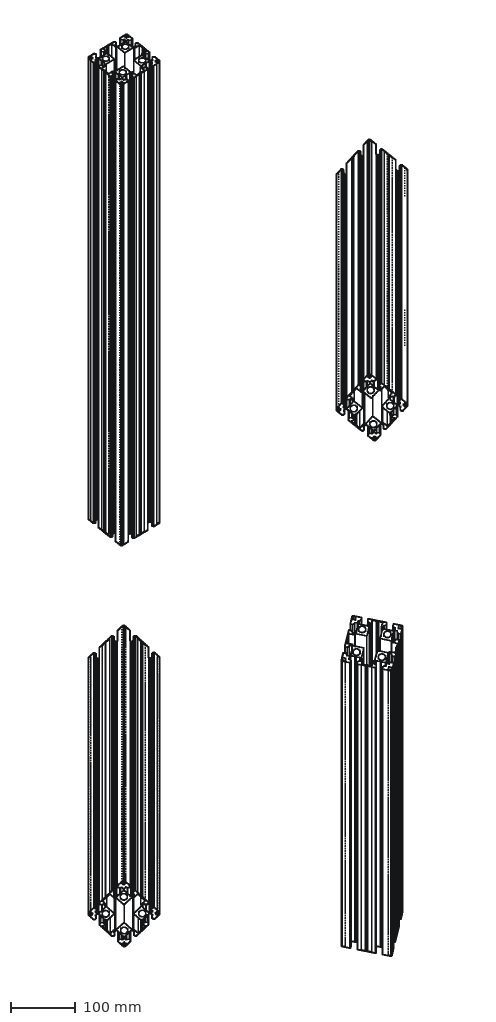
import cadquery as cq
import math

side = 80.0
length = 1000.0
half_side = side / 2
wall = 1.5
corner_chamfer = 1.5
side_count = 4

slot_offset = 20.0
mouth_half_width = 5.0
mouth_chamfer = 1.0
mouth_depth = 4.0
lip_half_width = 7.5
lip_depth = 6.5
slot_half_width = 9.0
slot_depth = 12.0
floor_half_width = 7.2

groove_half_width = 1.0
groove_depth = groove_half_width * math.tan(math.radians(30))

cavity_half_width = 10.5
cavity_reach = 29.0
neck_half_width = 8.2
neck_reach = half_side - wall
rib_half_width = 1.8
rib_height = rib_half_width * math.tan(math.radians(30))

core_hole_diameter = 11.0
corner_hollow_side = 4.5
corner_hollow_center = half_side - wall - corner_hollow_side / 2


def extrude_outline(points):
    return cq.Workplane("XY").polyline(points).close().extrude(length)


def extrude_mirrored(right_points, center_x=0.0):
    """Extrude an outline given by its right half, mirrored about the line x = center_x."""
    right = [(center_x + x, y) for x, y in right_points]
    left = [(center_x - x, y) for x, y in reversed(right_points) if x > 0]
    return extrude_outline(right + left)


def slot(center_x):
    """T-slot in the +Y side: chamfered mouth, flared lips, sloped bottom corners, grooved floor."""
    floor_y = half_side - slot_depth
    slope_height = slot_half_width - floor_half_width
    right_half = [
        (mouth_half_width + mouth_chamfer, half_side),
        (mouth_half_width, half_side - mouth_chamfer),
        (mouth_half_width, half_side - mouth_depth),
        (lip_half_width, half_side - lip_depth),
        (slot_half_width, half_side - lip_depth),
        (slot_half_width, floor_y + slope_height),
        (floor_half_width, floor_y),
        (groove_half_width, floor_y),
        (0, floor_y - groove_depth),
    ]
    return extrude_mirrored(right_half, center_x)


def side_groove():
    """V-groove down the middle of the +Y side."""
    return extrude_mirrored([(groove_half_width, half_side), (0, half_side - groove_depth)])


def cavity_arm():
    """Arm of the central cavity toward +Y, with a V-shaped rib behind the side groove."""
    right_half = [
        (0, neck_reach - rib_height),
        (rib_half_width, neck_reach),
        (neck_half_width, neck_reach),
        (neck_half_width, cavity_reach),
        (cavity_half_width, cavity_reach),
        (cavity_half_width, 0),
    ]
    return extrude_mirrored(right_half)


def core_hole():
    return (
        cq.Workplane("XY")
        .center(slot_offset, slot_offset)
        .circle(core_hole_diameter / 2)
        .extrude(length)
    )


def corner_hollow():
    return (
        cq.Workplane("XY")
        .center(corner_hollow_center, corner_hollow_center)
        .rect(corner_hollow_side, corner_hollow_side)
        .extrude(length)
    )


side_cuts = [
    slot(-slot_offset),
    slot(slot_offset),
    side_groove(),
    cavity_arm(),
    core_hole(),
    corner_hollow(),
]

result = cq.Workplane("XY").rect(side, side).extrude(length).edges("|Z").chamfer(corner_chamfer)
for index in range(side_count):
    turn = index * 360 / side_count
    for cut in side_cuts:
        result = result.cut(cut.rotate((0, 0, 0), (0, 0, 1), turn))